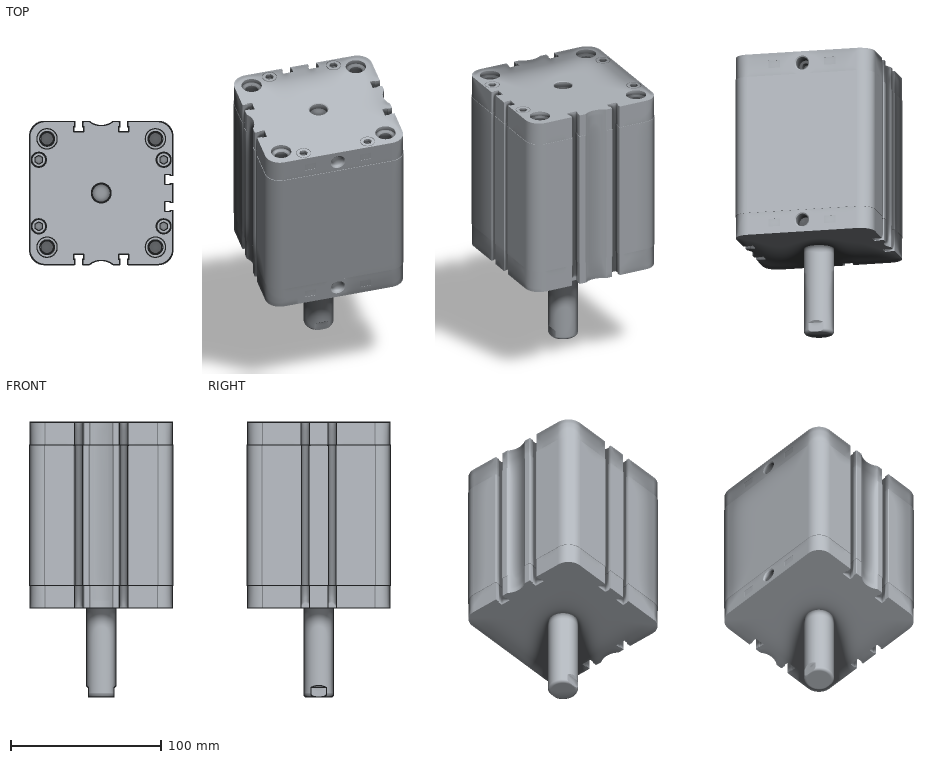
import cadquery as cq
import math

TOTAL_HEIGHT = 183.0
ROD_REACH = 59.1
FRONT_CAP_HEIGHT = 15.0
REAR_CAP_HEIGHT = 15.4
BARREL_BOTTOM = ROD_REACH + FRONT_CAP_HEIGHT
BARREL_TOP = TOTAL_HEIGHT - REAR_CAP_HEIGHT

BARREL_WIDTH = 95.5
SETBACK = 0.25
CAP_WIDTH = BARREL_WIDTH - 2 * SETBACK
CORNER_RADIUS = 10.0

SLOT_OPENING = 5.1
SLOT_POCKET_WIDTH = 6.4
Y_SLOT_OFFSET = 15.0
Y_SLOT_FLOOR = 40.8
Y_SLOT_LIP_FACE = 44.0
X_SLOT_OFFSET = 9.0
X_SLOT_FLOOR = 42.3
X_SLOT_LIP_FACE = 45.8

FLUTE_DIAMETER = 25.0
FLUTE_CENTER = 57.5

EDGE_FILLET = 0.5
RIB_REACH = Y_SLOT_OFFSET
SLOT_REACH = Y_SLOT_OFFSET + SLOT_OPENING

PORT_DIAMETER = 8.6
PORT_MOUTH_DIAMETER = 10.0
PORT_DEPTH = 11.0
PORT_NOZZLE_DIAMETER = 5.0
PORT_NOZZLE_DEPTH = 5.5
REAR_PORT_Z = 175.0
FRONT_PORT_Z = 67.2

PANEL_WIDTH = 7.9
PANEL_HEIGHT = 5.1
PANEL_DEPTH = 0.2
PANEL_OFFSET = 19.0
REAR_PANEL_Z = 175.3
FRONT_PANEL_Z = 66.5

MOUNT_OFFSET = 36.0
MOUNT_COUNTERBORE_DIAMETER = 13.5
MOUNT_COUNTERBORE_DEPTH = 3.0
MOUNT_MOUTH_DIAMETER = 9.9
MOUNT_HOLE_DIAMETER = 8.5
MOUNT_HOLE_DEPTH = 12.8

CENTER_DIAMETER = 12.0
CENTER_MOUTH_DIAMETER = 13.2
CENTER_DEPTH = 4.4

SCREW_X = 41.5
SCREW_Y = 22.1
SCREW_RECESS_DIAMETER = 10.0
SCREW_HEAD_DIAMETER = 9.2
SCREW_GROOVE_DEPTH = 0.5
HEX_ACROSS_FLATS = 5.1
HEX_DEPTH = 3.0

ROD_DIAMETER = 20.0
ROD_END_FILLET = 2.0
FLATS_WIDTH = 17.0
FLATS_LENGTH = 6.2
FLATS_RAMP = 1.5


def rounded_block(width, bottom, top):
    """Square bar along Z with rounded vertical edges."""
    block = cq.Workplane("XY").workplane(offset=bottom).rect(width, width).extrude(top - bottom)
    return block.edges("|Z").fillet(CORNER_RADIUS)


def t_slot(offset, floor, lip_face, clearance, bottom, top):
    """T-slot cutter opening toward +X, centred on Y = offset."""
    half_opening = SLOT_OPENING / 2 + clearance
    half_pocket = SLOT_POCKET_WIDTH / 2 + clearance
    lip = lip_face + clearance
    half = [(BARREL_WIDTH, half_opening), (lip, half_opening), (lip, half_pocket), (floor, half_pocket)]
    mirrored = [(x, -y) for x, y in reversed(half)]
    profile = cq.Workplane("XY", origin=(0, offset, bottom)).polyline(half + mirrored).close()
    return profile.extrude(top - bottom)


def profiled_block(width, clearance, fillet_reach, bottom, top):
    """Rounded block with the T-slots on three sides and the two flutes.

    The slot and flute edges within fillet_reach of X = 0 are rounded.
    """
    block = rounded_block(width, bottom, top)
    for side in (-1, 1):
        block = block.cut(t_slot(side * X_SLOT_OFFSET, X_SLOT_FLOOR, X_SLOT_LIP_FACE, clearance, bottom, top))
        slot = t_slot(side * Y_SLOT_OFFSET, Y_SLOT_FLOOR, Y_SLOT_LIP_FACE, clearance, bottom, top)
        for turn in (-90, 90):
            block = block.cut(slot.rotate((0, 0, 0), (0, 0, 1), turn))
        flute = cq.Workplane("XY", origin=(0, side * FLUTE_CENTER, bottom)).circle(FLUTE_DIAMETER / 2)
        block = block.cut(flute.extrude(top - bottom))
    for side_y in (-width / 2, width / 2):
        near_edges = cq.selectors.BoxSelector(
            (-fillet_reach, side_y - EDGE_FILLET, bottom), (fillet_reach, side_y + EDGE_FILLET, top)
        )
        block = block.edges("|Z").edges(near_edges).fillet(EDGE_FILLET)
    return block


def chamfered_hole(start, direction, diameter, mouth_diameter, depth):
    """Blind hole cutter with a 45 degree chamfer at its mouth."""
    chamfer = (mouth_diameter - diameter) / 2
    hole = cq.Solid.makeCylinder(diameter / 2, depth, start, direction)
    mouth = cq.Solid.makeCone(mouth_diameter / 2, diameter / 2, chamfer, start, direction)
    return hole.fuse(mouth)


def port(z):
    """Air port cutter entering the -X side of a cap."""
    start = cq.Vector(-CAP_WIDTH / 2, 0, z)
    return chamfered_hole(start, cq.Vector(1, 0, 0), PORT_DIAMETER, PORT_MOUTH_DIAMETER, PORT_DEPTH)


def label_panels(z):
    """Cutter for the pair of shallow label panels beside a port."""
    panels = cq.Workplane("XY").pushPoints(
        [(-CAP_WIDTH / 2, -PANEL_OFFSET), (-CAP_WIDTH / 2, PANEL_OFFSET)]
    )
    return panels.box(2 * PANEL_DEPTH, PANEL_WIDTH, PANEL_HEIGHT).translate((0, 0, z))


def mounting_hole(x, y):
    """Counterbored corner hole cutter with a chamfered thread mouth."""
    down = cq.Vector(0, 0, -1)
    counterbore = cq.Solid.makeCylinder(
        MOUNT_COUNTERBORE_DIAMETER / 2, MOUNT_COUNTERBORE_DEPTH, cq.Vector(x, y, TOTAL_HEIGHT), down
    )
    seat = cq.Vector(x, y, TOTAL_HEIGHT - MOUNT_COUNTERBORE_DEPTH)
    thread_depth = MOUNT_HOLE_DEPTH - MOUNT_COUNTERBORE_DEPTH
    thread = chamfered_hole(seat, down, MOUNT_HOLE_DIAMETER, MOUNT_MOUTH_DIAMETER, thread_depth)
    return counterbore.fuse(thread)


def cut_screw_heads(cap):
    """Outline each flush screw head with a ring groove and sink its hex socket."""
    spots = [(x, y) for x in (-SCREW_X, SCREW_X) for y in (-SCREW_Y, SCREW_Y)]
    top = cq.Workplane("XY").workplane(offset=TOTAL_HEIGHT).pushPoints(spots)
    rings = top.circle(SCREW_RECESS_DIAMETER / 2).circle(SCREW_HEAD_DIAMETER / 2)
    cap = cap.cut(rings.extrude(-SCREW_GROOVE_DEPTH))
    hex_across_corners = HEX_ACROSS_FLATS / math.cos(math.pi / 6)
    for x, y in spots:
        socket = cq.Workplane("XY").polygon(6, hex_across_corners).extrude(-HEX_DEPTH)
        socket = socket.rotate((0, 0, 0), (0, 0, 1), 90).translate((x, y, TOTAL_HEIGHT))
        cap = cap.cut(socket)
    return cap


def make_barrel():
    """Plain slotted middle section between the caps."""
    return profiled_block(BARREL_WIDTH, 0, SLOT_REACH, BARREL_BOTTOM, BARREL_TOP)


def make_rear_cap():
    """Top cap with mounting holes, central recess, screw heads and a stepped port."""
    cap = profiled_block(CAP_WIDTH, SETBACK, RIB_REACH, BARREL_TOP, TOTAL_HEIGHT)
    for x in (-MOUNT_OFFSET, MOUNT_OFFSET):
        for y in (-MOUNT_OFFSET, MOUNT_OFFSET):
            cap = cap.cut(cq.Workplane(mounting_hole(x, y)))
    center = chamfered_hole(
        cq.Vector(0, 0, TOTAL_HEIGHT),
        cq.Vector(0, 0, -1),
        CENTER_DIAMETER,
        CENTER_MOUTH_DIAMETER,
        CENTER_DEPTH,
    )
    cap = cap.cut(cq.Workplane(center))
    cap = cut_screw_heads(cap)
    cap = cap.cut(cq.Workplane(port(REAR_PORT_Z)))
    nozzle = cq.Solid.makeCylinder(
        PORT_NOZZLE_DIAMETER / 2,
        PORT_DEPTH + PORT_NOZZLE_DEPTH,
        cq.Vector(-CAP_WIDTH / 2, 0, REAR_PORT_Z),
        cq.Vector(1, 0, 0),
    )
    cap = cap.cut(cq.Workplane(nozzle))
    return cap.cut(label_panels(REAR_PANEL_Z))


def make_front_cap():
    """Bottom cap with the rod passage and a blind port."""
    cap = profiled_block(CAP_WIDTH, SETBACK, RIB_REACH, ROD_REACH, BARREL_BOTTOM)
    rod_hole = cq.Workplane("XY").workplane(offset=ROD_REACH).circle(ROD_DIAMETER / 2)
    cap = cap.cut(rod_hole.extrude(FRONT_CAP_HEIGHT))
    cap = cap.cut(cq.Workplane(port(FRONT_PORT_Z)))
    return cap.cut(label_panels(FRONT_PANEL_Z))


def make_rod():
    """Rod through the front cap, with a rounded end and two wrench flats facing -X and +X."""
    rod = cq.Workplane("XY").circle(ROD_DIAMETER / 2).extrude(BARREL_BOTTOM)
    rod = rod.faces("<Z").edges().fillet(ROD_END_FILLET)
    flat_x = FLATS_WIDTH / 2
    rod_x = ROD_DIAMETER / 2
    ramp_top = FLATS_LENGTH + FLATS_RAMP
    flat_profile = [(flat_x, 0), (flat_x, FLATS_LENGTH), (rod_x, ramp_top), (rod_x, 0)]
    flat = cq.Workplane("XZ").polyline(flat_profile).close().extrude(ROD_DIAMETER / 2, both=True)
    return rod.cut(flat).cut(flat.mirror("YZ"))


barrel = make_barrel()
rear_cap = make_rear_cap()
front_cap = make_front_cap()
rod = make_rod()

result = cq.Compound.makeCompound([barrel.val(), rear_cap.val(), front_cap.val(), rod.val()])